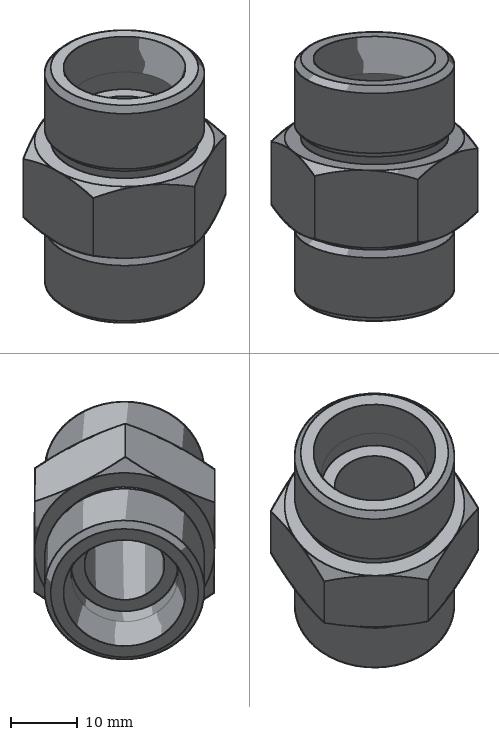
import cadquery as cq
import math

length = 38.0
hex_across_flats = 27.0
hex_height = 12.5
hex_chamfer_angle = 30.0

thread_diameter = 24.0
neck_diameter = 22.15
neck_length = 1.25

bore_diameter = 12.0
socket_diameter = 16.0
mouth_diameter = 18.3
cone_half_angle = 12.0
socket_depth = 8.5

hex_corner_diameter = hex_across_flats / math.cos(math.radians(30))
hex_bottom = (length - hex_height) / 2
middle = length / 2
end_chamfer = (thread_diameter - neck_diameter) / 2
cone_depth = (mouth_diameter - socket_diameter) / 2 / math.tan(math.radians(cone_half_angle))


def revolve_profile(points):
    """Revolve a closed (radius, height) outline around the Z axis."""
    return cq.Workplane("XZ").polyline(points).close().revolve(360, (0, 0), (0, 1))


def make_lower_end():
    """Threaded end with 45 degree chamfers and a neck next to the hexagon."""
    thread_radius = thread_diameter / 2
    neck_radius = neck_diameter / 2
    neck_bottom = hex_bottom - neck_length
    return revolve_profile([
        (0, 0),
        (neck_radius, 0),
        (thread_radius, end_chamfer),
        (thread_radius, neck_bottom - end_chamfer),
        (neck_radius, neck_bottom),
        (neck_radius, middle),
        (0, middle),
    ])


def make_hexagon():
    """Hexagon with corners on the Y axis, its corners chamfered by cones."""
    prism = (
        cq.Workplane("XY")
        .workplane(offset=hex_bottom)
        .polygon(6, hex_corner_diameter)
        .extrude(hex_height)
        .rotate((0, 0, 0), (0, 0, 1), 90)
    )
    face_radius = hex_across_flats / 2
    corner_radius = hex_corner_diameter / 2
    corner_drop = (corner_radius - face_radius) * math.tan(math.radians(hex_chamfer_angle))
    hex_top = hex_bottom + hex_height
    envelope = revolve_profile([
        (0, hex_bottom),
        (face_radius, hex_bottom),
        (corner_radius, hex_bottom + corner_drop),
        (corner_radius, hex_top - corner_drop),
        (face_radius, hex_top),
        (0, hex_top),
    ])
    return prism.intersect(envelope)


def make_lower_bore():
    """Half of the bore: tapered mouth, straight socket and through hole."""
    socket_radius = socket_diameter / 2
    bore_radius = bore_diameter / 2
    return revolve_profile([
        (0, 0),
        (mouth_diameter / 2, 0),
        (socket_radius, cone_depth),
        (socket_radius, socket_depth),
        (bore_radius, socket_depth),
        (bore_radius, middle),
        (0, middle),
    ])


def with_mirror(half):
    """Join a lower half to its mirror image above the middle plane."""
    return half.union(half.mirror("XY", (0, 0, middle)))


body = with_mirror(make_lower_end()).union(make_hexagon())
result = body.cut(with_mirror(make_lower_bore()))